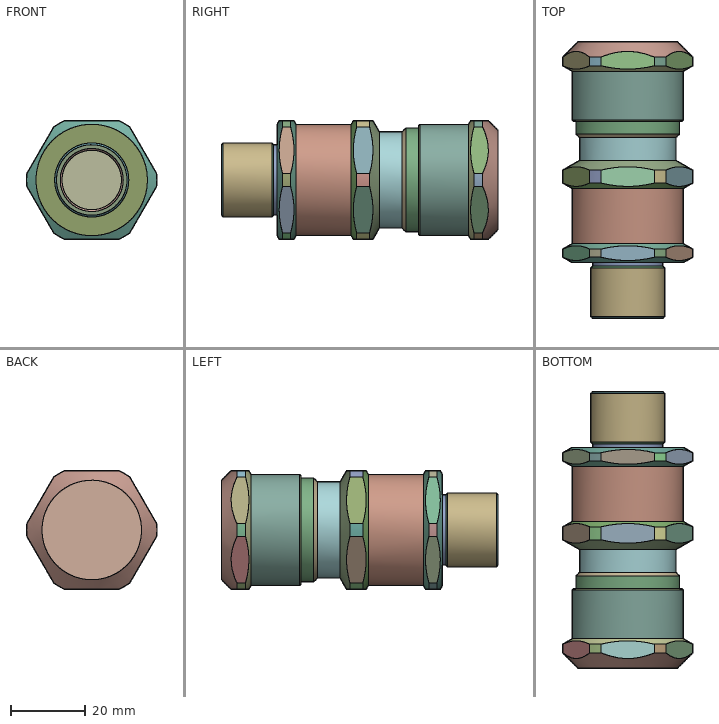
import cadquery as cq
import math

LENGTH = 74.5
REAR_END_Y = LENGTH / 2

ACROSS_FLATS = 32.0
CORNER_DIAMETER = 35.2
CHAMFER_ANGLE = 30.0
REAR_NUT_LENGTH = 8.0
REAR_FACE_DIAMETER = 26.8
MIDDLE_HEX_START = 31.95
MIDDLE_HEX_END = 39.55
FRONT_HEX_LENGTH = 5.15

BODY_DIAMETER = 30.0
BODY_CHAMFER = 0.4
REAR_BODY_END = 21.45
COLLAR_DIAMETER = 28.0
COLLAR_END = 25.85
NECK_DIAMETER = 26.0

SPIGOT_DIAMETER = 20.0
SPIGOT_LENGTH = 15.0
SPIGOT_CHAMFER = 0.485
RELIEF_DIAMETER = 19.0
RELIEF_LENGTH = 0.9
BORE_DIAMETER = 16.0
BORE_DEPTH = SPIGOT_LENGTH
BORE_CHAMFER = 0.485

FRONT_HEX_END = LENGTH - SPIGOT_LENGTH
FRONT_HEX_START = FRONT_HEX_END - FRONT_HEX_LENGTH


def revolve_profile(points):
    """Revolve (diameter, station) points, closed along the axis, about Y."""
    outline = [(diameter / 2, REAR_END_Y - station) for diameter, station in points]
    first_y = outline[0][1]
    last_y = outline[-1][1]
    profile = cq.Workplane("XY").polyline([(0, first_y)] + outline + [(0, last_y)]).close()
    return profile.revolve(360, (0, 0, 0), (0, 1, 0))


def cylinder(diameter, start, end):
    return revolve_profile([(diameter, start), (diameter, end)])


def chamfered_hex(start, end, rear_diameter, front_diameter, rear_angle=CHAMFER_ANGLE):
    """Hexagon with flats facing +Z and -Z, its corners turned and chamfered at both ends."""
    rear_rise = (CORNER_DIAMETER - rear_diameter) / 2 * math.tan(math.radians(rear_angle))
    front_rise = (CORNER_DIAMETER - front_diameter) / 2 * math.tan(math.radians(CHAMFER_ANGLE))
    envelope = revolve_profile([
        (rear_diameter, start),
        (CORNER_DIAMETER, start + rear_rise),
        (CORNER_DIAMETER, end - front_rise),
        (front_diameter, end),
    ])
    across_corners = ACROSS_FLATS / math.cos(math.radians(30))
    prism = (
        cq.Workplane("XZ", origin=(0, REAR_END_Y - start, 0))
        .polygon(6, across_corners)
        .extrude(end - start)
    )
    return prism.intersect(envelope)


def collar():
    chamfer = (COLLAR_DIAMETER - NECK_DIAMETER) / 2
    return revolve_profile([
        (COLLAR_DIAMETER, REAR_BODY_END),
        (COLLAR_DIAMETER, COLLAR_END - chamfer),
        (NECK_DIAMETER, COLLAR_END),
    ])


def rear_body():
    return revolve_profile([
        (BODY_DIAMETER, REAR_NUT_LENGTH),
        (BODY_DIAMETER, REAR_BODY_END - BODY_CHAMFER),
        (BODY_DIAMETER - 2 * BODY_CHAMFER, REAR_BODY_END),
    ])


def spigot():
    relief_end = FRONT_HEX_END + RELIEF_LENGTH
    end_diameter = SPIGOT_DIAMETER - 2 * SPIGOT_CHAMFER
    return revolve_profile([
        (RELIEF_DIAMETER, FRONT_HEX_END),
        (RELIEF_DIAMETER, relief_end),
        (SPIGOT_DIAMETER, relief_end + (SPIGOT_DIAMETER - RELIEF_DIAMETER) / 2),
        (SPIGOT_DIAMETER, LENGTH - SPIGOT_CHAMFER),
        (end_diameter, LENGTH),
    ])


def bore():
    return revolve_profile([
        (BORE_DIAMETER, LENGTH - BORE_DEPTH),
        (BORE_DIAMETER, LENGTH - BORE_CHAMFER),
        (BORE_DIAMETER + 2 * BORE_CHAMFER, LENGTH),
    ])


result = (
    chamfered_hex(0, REAR_NUT_LENGTH, REAR_FACE_DIAMETER, BODY_DIAMETER, rear_angle=45)
    .union(rear_body())
    .union(collar())
    .union(cylinder(NECK_DIAMETER, COLLAR_END, MIDDLE_HEX_START))
    .union(chamfered_hex(MIDDLE_HEX_START, MIDDLE_HEX_END, NECK_DIAMETER, BODY_DIAMETER))
    .union(cylinder(BODY_DIAMETER, MIDDLE_HEX_END, FRONT_HEX_START))
    .union(chamfered_hex(FRONT_HEX_START, FRONT_HEX_END, BODY_DIAMETER, BODY_DIAMETER))
    .union(spigot())
    .cut(bore())
)